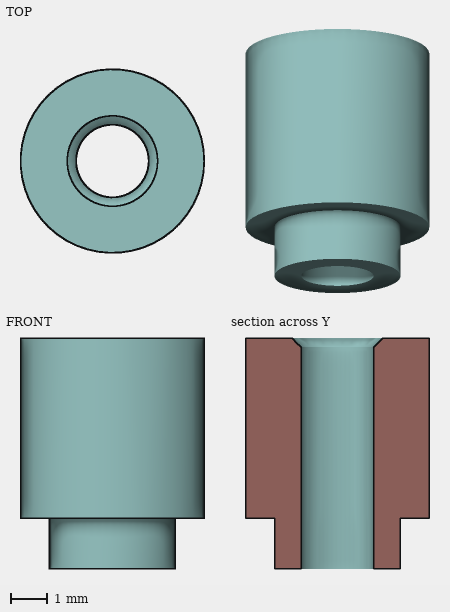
import cadquery as cq

body_diameter = 5.1
body_length = 5.0
spigot_diameter = 3.5
spigot_length = 1.4
bore_diameter = 2.01
bore_chamfer = 0.25

body_top = body_length
chamfer_diameter = bore_diameter + 2 * bore_chamfer
total_length = body_length + spigot_length


def make_stepped_cylinder():
    """Body standing on Z = 0 with the narrower spigot below it."""
    body = cq.Workplane("XY").circle(body_diameter / 2).extrude(body_length)
    spigot = cq.Workplane("XY").circle(spigot_diameter / 2).extrude(-spigot_length)
    return body.union(spigot)


def make_bore():
    """Through bore with a 45 degree countersink at the top face."""
    bore = (
        cq.Workplane("XY")
        .workplane(offset=-spigot_length)
        .circle(bore_diameter / 2)
        .extrude(total_length)
    )
    countersink = cq.Workplane(
        cq.Solid.makeCone(
            bore_diameter / 2,
            chamfer_diameter / 2,
            bore_chamfer,
            pnt=cq.Vector(0, 0, body_top - bore_chamfer),
        )
    )
    return bore.union(countersink)


result = make_stepped_cylinder().cut(make_bore())